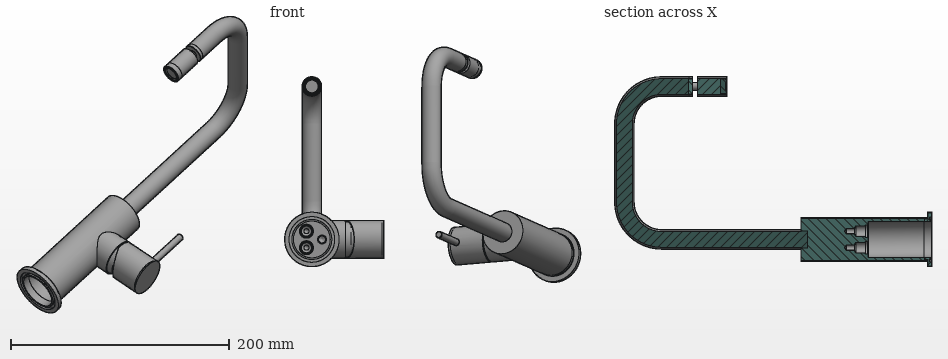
import cadquery as cq
import math

BODY_RADIUS = 20.0
BODY_TOP = 120.0
NECK_RADIUS = 17.5
NECK_Y = 77.5
NECK_END = 30.8
BORE_RADIUS = 16.8
BORE_DEPTH = 58.0

HOSE_X = -5.0
HOSE_Z = 7.5
HOSE_RADIUS = 4.6
HOSE_DEPTH = 11.5
SEAT_RADIUS = 5.5
SEAT_DEPTH = 3.0
HOLE_CHAMFER = 1.0
FEED_RADIUS = 2.3
FEED_DEPTH = 20.3
STUD_X = 9.3
STUD_RADIUS = 3.2
STUD_DEPTH = 11.5
DRILL_HALF_ANGLE = 59.0

RING_RADIUS = 25.0
RING_THICKNESS = 4.0
COLLAR_RADIUS = 19.5
COLLAR_TOP = 7.3
GROOVE_INNER = 18.3
GROOVE_OUTER = 21.0
GROOVE_DEPTH = 2.0

TUBE_RADIUS = 9.0
SPOUT_BACK = 290.5
SPOUT_HEIGHT = 140.0
BEND_RADIUS = 34.3
SPOUT_TIP = 219.0
SPOUT_SOCKET = 5.8

PIVOT_RADIUS = 3.8
PIVOT_HEAD_RADIUS = 8.5
PIVOT_HEAD_LENGTH = 3.5
NOZZLE_BACK = 214.5
NOZZLE_FRONT = 187.5
PIVOT_SOCKET = 3.5
AERATOR_RADIUS = 8.0
AERATOR_LENGTH = 5.8
AERATOR_FACE_RADIUS = 5.8
AERATOR_RECESS = 1.2
AERATOR_CHAMFER = 1.0

CAP_START = 31.7
CAP_END = 66.0
CAP_WALL = 1.0
CAP_END_WALL = 1.7
CAP_CUT_REACH = 7.3
COVER_BASE_RADIUS = 16.3
COVER_MIDDLE_RADIUS = 16.0
COVER_EDGE_RADIUS = 15.0
COVER_EDGE = 36.0
COVER_END = 40.7
LEVER_X = 58.0
LEVER_RADIUS = 3.2
LEVER_TIP = 133.5
LEVER_ROOT = 90.0
LEVER_CHAMFER = 0.5


def rod_y(radius, start, end, x=0.0, z=0.0):
    """Cylinder parallel to Y between two Y positions."""
    plane = cq.Plane(origin=(x, start, z), xDir=(1, 0, 0), normal=(0, 1, 0))
    return cq.Workplane(plane).circle(radius).extrude(end - start)


def rod_x(radius, start, end):
    """Cylinder on the neck axis between two X positions."""
    plane = cq.Plane(origin=(start, NECK_Y, 0), xDir=(0, 1, 0), normal=(1, 0, 0))
    return cq.Workplane(plane).circle(radius).extrude(end - start)


def drilled_hole(x, z, radius, depth):
    """Cutter for a cone-bottomed hole that runs up from the floor of the bore."""
    tip = depth + radius / math.tan(math.radians(DRILL_HALF_ANGLE))
    profile = cq.Workplane("XY").polyline([(0, 0), (radius, 0), (radius, depth), (0, tip)]).close()
    return profile.revolve(360, (0, 0), (0, 1)).translate((x, BORE_DEPTH, z))


def countersink(x, z, radius):
    """Cutter for the chamfer at the mouth of a hole in the floor of the bore."""
    rim = radius + HOLE_CHAMFER
    profile = cq.Workplane("XY").polyline([(0, 0), (rim, 0), (0, rim)]).close()
    return profile.revolve(360, (0, 0), (0, 1)).translate((x, BORE_DEPTH, z))


def hose_port(x, z):
    """Cutter for one hose port: chamfered seat, hose hole and narrow feed hole."""
    port = drilled_hole(x, z, HOSE_RADIUS, HOSE_DEPTH).union(drilled_hole(x, z, FEED_RADIUS, FEED_DEPTH))
    seat = rod_y(SEAT_RADIUS, BORE_DEPTH, BORE_DEPTH + SEAT_DEPTH, x, z)
    return port.union(seat).union(countersink(x, z, SEAT_RADIUS))


def make_base_ring():
    """Flanged ring with a seal groove below and a collar that enters the body."""
    ring = rod_y(RING_RADIUS, 0, RING_THICKNESS).union(rod_y(COLLAR_RADIUS, 0, COLLAR_TOP))
    groove = rod_y(GROOVE_OUTER, 0, GROOVE_DEPTH).cut(rod_y(GROOVE_INNER, 0, GROOVE_DEPTH))
    return ring.cut(groove).cut(rod_y(BORE_RADIUS, 0, COLLAR_TOP))


def make_body():
    """Barrel and side neck, bored from below, with a socket for the spout on top."""
    body = rod_y(BODY_RADIUS, RING_THICKNESS, BODY_TOP).union(rod_x(NECK_RADIUS, 0, NECK_END))
    body = body.cut(rod_y(BORE_RADIUS, RING_THICKNESS, BORE_DEPTH))
    body = body.cut(rod_y(COLLAR_RADIUS, RING_THICKNESS, COLLAR_TOP))
    body = body.cut(rod_y(TUBE_RADIUS, BODY_TOP - SPOUT_SOCKET, BODY_TOP))
    for side in (-1, 1):
        body = body.cut(hose_port(HOSE_X, side * HOSE_Z))
    stud_hole = drilled_hole(STUD_X, 0, STUD_RADIUS, STUD_DEPTH)
    return body.cut(stud_hole).cut(countersink(STUD_X, 0, STUD_RADIUS))


def make_spout():
    """Round bar with two quarter bends, recessed at the tip for the pivot head."""
    start = BODY_TOP - SPOUT_SOCKET
    back = SPOUT_BACK - TUBE_RADIUS
    bend_y = back - BEND_RADIUS
    diagonal = BEND_RADIUS * math.sqrt(0.5)
    upper_z = SPOUT_HEIGHT - BEND_RADIUS
    path = (
        cq.Workplane("YZ")
        .moveTo(start, 0)
        .lineTo(bend_y, 0)
        .threePointArc((bend_y + diagonal, BEND_RADIUS - diagonal), (back, BEND_RADIUS))
        .lineTo(back, upper_z)
        .threePointArc((bend_y + diagonal, upper_z + diagonal), (bend_y, SPOUT_HEIGHT))
        .lineTo(SPOUT_TIP, SPOUT_HEIGHT)
    )
    section = cq.Plane(origin=(0, start, 0), xDir=(1, 0, 0), normal=(0, 1, 0))
    spout = cq.Workplane(section).circle(TUBE_RADIUS).sweep(path)
    return spout.cut(make_pivot_head())


def make_pivot_head():
    """Disc of the pivot, set flush into the tip of the spout."""
    return rod_y(PIVOT_HEAD_RADIUS, SPOUT_TIP, SPOUT_TIP + PIVOT_HEAD_LENGTH, z=SPOUT_HEIGHT)


def make_pivot():
    """Head disc with a stem that enters the nozzle."""
    stem = rod_y(PIVOT_RADIUS, NOZZLE_BACK - PIVOT_SOCKET, SPOUT_TIP, z=SPOUT_HEIGHT)
    return make_pivot_head().union(stem)


def make_nozzle():
    """Cylinder with a socket for the pivot behind and one for the aerator in front."""
    nozzle = rod_y(TUBE_RADIUS, NOZZLE_FRONT, NOZZLE_BACK, z=SPOUT_HEIGHT)
    nozzle = nozzle.cut(rod_y(PIVOT_RADIUS, NOZZLE_BACK - PIVOT_SOCKET, NOZZLE_BACK, z=SPOUT_HEIGHT))
    return nozzle.cut(rod_y(AERATOR_RADIUS, NOZZLE_FRONT, NOZZLE_FRONT + AERATOR_LENGTH, z=SPOUT_HEIGHT))


def make_aerator():
    """Chamfered insert with a recessed outlet face."""
    aerator = rod_y(AERATOR_RADIUS, NOZZLE_FRONT, NOZZLE_FRONT + AERATOR_LENGTH, z=SPOUT_HEIGHT)
    recess = rod_y(AERATOR_FACE_RADIUS, NOZZLE_FRONT, NOZZLE_FRONT + AERATOR_RECESS, z=SPOUT_HEIGHT)
    return aerator.cut(recess).faces("<Y").edges().chamfer(AERATOR_CHAMFER)


def make_cartridge_cover():
    """Domed plug on the end of the neck, reaching into the cap."""
    middle = (NECK_END + COVER_EDGE) / 2
    profile = (
        cq.Workplane("XY")
        .moveTo(NECK_END, 0)
        .lineTo(NECK_END, COVER_BASE_RADIUS)
        .threePointArc((middle, COVER_MIDDLE_RADIUS), (COVER_EDGE, COVER_EDGE_RADIUS))
        .lineTo(COVER_END, COVER_EDGE_RADIUS)
        .lineTo(COVER_END, 0)
        .close()
    )
    return profile.revolve(360, (0, 0), (1, 0)).translate((0, NECK_Y, 0))


def make_cap():
    """Thin-walled cup with an oblique cut below that lets the handle tilt."""
    cap = rod_x(NECK_RADIUS, CAP_START, CAP_END)
    cap = cap.cut(rod_x(NECK_RADIUS - CAP_WALL, CAP_START, CAP_END - CAP_END_WALL))
    corner = [(CAP_START, 0), (CAP_START, -NECK_RADIUS), (CAP_START + CAP_CUT_REACH, -NECK_RADIUS)]
    wedge = cq.Workplane("XY").polyline(corner).close().extrude(NECK_RADIUS, both=True)
    cap = cap.cut(wedge.translate((0, NECK_Y, 0)))
    return cap.cut(rod_y(LEVER_RADIUS, LEVER_ROOT, LEVER_TIP, x=LEVER_X))


def make_lever():
    """Rod through the upper wall of the cap."""
    lever = rod_y(LEVER_RADIUS, LEVER_ROOT, LEVER_TIP, x=LEVER_X)
    return lever.faces(">Y").chamfer(LEVER_CHAMFER)


base_ring = make_base_ring()
body = make_body()
spout = make_spout()
pivot = make_pivot()
nozzle = make_nozzle()
aerator = make_aerator()
cartridge_cover = make_cartridge_cover()
cap = make_cap()
lever = make_lever()

result = cq.Compound.makeCompound([
    base_ring.val(),
    body.val(),
    spout.val(),
    pivot.val(),
    nozzle.val(),
    aerator.val(),
    cartridge_cover.val(),
    cap.val(),
    lever.val(),
])